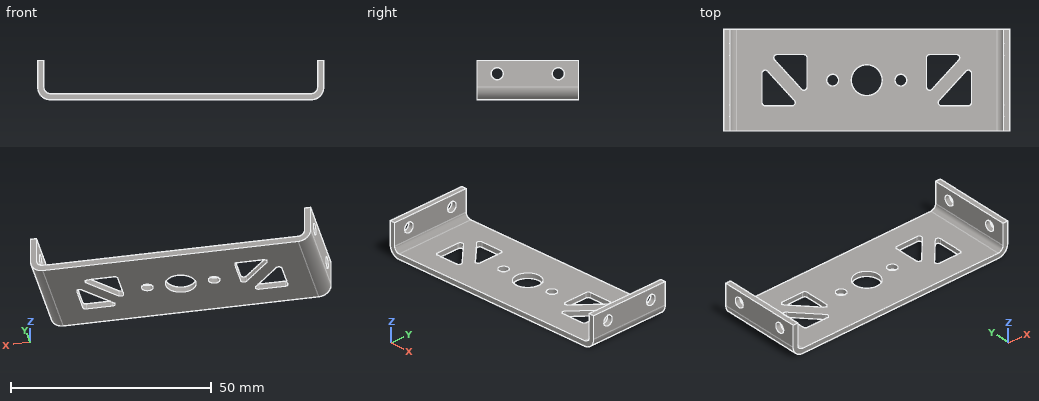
import cadquery as cq

length = 71.32
width = 25.4
height = 9.83
thickness = 1.5875
bend_inner_radius = thickness
bend_outer_radius = bend_inner_radius + thickness

center_hole_diameter = 7.62
side_hole_diameter = 2.87
side_hole_offset = 8.49
flange_hole_diameter = 2.95
flange_hole_spacing = 15.24
flange_hole_drop = 3.302

window_inner_x = 14.9
window_outer_x = 26.07
window_half_height = width / 4
window_leg_x = 9.2
window_leg_y = 10.03
window_corner_radius = 0.762


def make_channel():
    """U-shaped sheet with rounded bends, extruded across the width."""
    outer = cq.Workplane("XY").box(length, width, height, centered=(True, True, False))
    outer = outer.edges("|Y and <Z").fillet(bend_outer_radius)
    cavity = (
        cq.Workplane("XY")
        .workplane(offset=thickness)
        .box(length - 2 * thickness, width, height, centered=(True, True, False))
        .edges("|Y and <Z")
        .fillet(bend_inner_radius)
    )
    return outer.cut(cavity)


def web_holes():
    """Central opening with a small hole on either side."""
    center = cq.Workplane("XY").circle(center_hole_diameter / 2).extrude(thickness)
    sides = (
        cq.Workplane("XY")
        .pushPoints([(-side_hole_offset, 0), (side_hole_offset, 0)])
        .circle(side_hole_diameter / 2)
        .extrude(thickness)
    )
    return center.union(sides)


def flange_holes():
    """Two holes running along X through both flanges."""
    hole_z = height - flange_hole_drop
    return (
        cq.Workplane("YZ")
        .pushPoints([(-flange_hole_spacing / 2, hole_z), (flange_hole_spacing / 2, hole_z)])
        .circle(flange_hole_diameter / 2)
        .extrude(length / 2, both=True)
    )


def triangle_window(corner_x, corner_y, leg_x, leg_y):
    """Rounded right triangle; signed legs run from the right-angle corner."""
    return (
        cq.Workplane("XY")
        .moveTo(corner_x, corner_y)
        .lineTo(corner_x + leg_x, corner_y)
        .lineTo(corner_x, corner_y + leg_y)
        .close()
        .extrude(thickness)
        .edges("|Z")
        .fillet(window_corner_radius)
    )


result = make_channel().cut(web_holes()).cut(flange_holes())

for side in (-1, 1):
    inner_window = triangle_window(
        side * window_inner_x, window_half_height, side * window_leg_x, -window_leg_y
    )
    outer_window = triangle_window(
        side * window_outer_x, -window_half_height, -side * window_leg_x, window_leg_y
    )
    result = result.cut(inner_window).cut(outer_window)